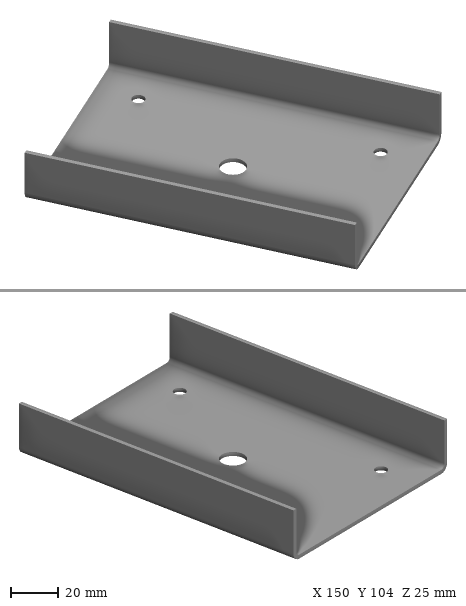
import cadquery as cq

length = 150.0
width = 104.0
height = 25.0
thickness = 2.0
inner_bend_radius = 2.1
outer_bend_radius = inner_bend_radius + thickness

center_hole_diameter = 12.0
mount_hole_diameter = 6.0
mount_spacing_x = 110.0
mount_spacing_y = 64.0


def make_channel():
    """Bent sheet channel along X, open at the top, with its base on Z = 0."""
    outer = (
        cq.Workplane("XY")
        .box(length, width, height, centered=(True, True, False))
        .edges("|X and <Z")
        .fillet(outer_bend_radius)
    )
    inner = (
        cq.Workplane("XY", origin=(0, 0, thickness))
        .box(length, width - 2 * thickness, height, centered=(True, True, False))
        .edges("|X and <Z")
        .fillet(inner_bend_radius)
    )
    return outer.cut(inner)


def make_hole_cutters():
    """Central hole and a rectangular pattern of four mounting holes."""
    center_hole = cq.Workplane("XY").circle(center_hole_diameter / 2).extrude(thickness)
    mount_holes = (
        cq.Workplane("XY")
        .rect(mount_spacing_x, mount_spacing_y, forConstruction=True)
        .vertices()
        .circle(mount_hole_diameter / 2)
        .extrude(thickness)
    )
    return center_hole.add(mount_holes).combine()


result = make_channel().cut(make_hole_cutters())